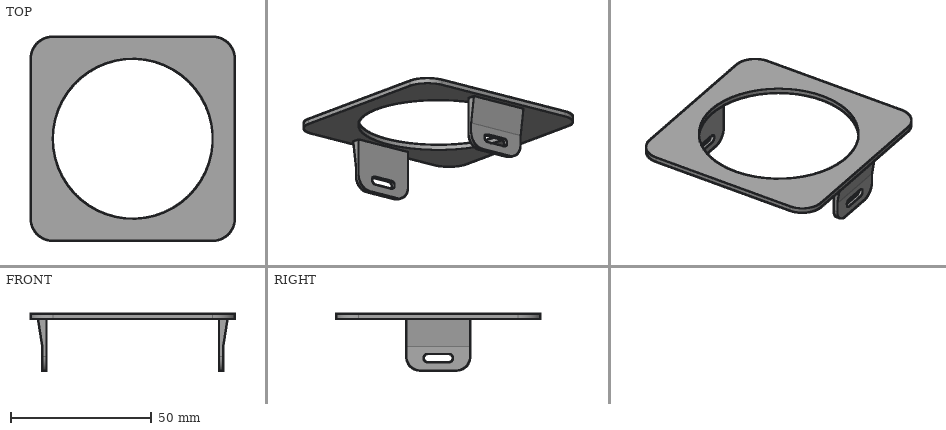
import cadquery as cq

plate_side = 73.0
plate_thickness = 2.0
corner_radius = 8.0
opening_diameter = 57.0

total_height = 20.4
tab_width = 22.9
tab_inner_x = 30.7
tab_thickness = 1.6
tab_root_thickness = 3.15
taper_end_z = -11.7
tab_corner_radius = 5.1

slot_length = 10.4
slot_height = 2.9
slot_z = -15.85


def make_plate():
    return (
        cq.Workplane("XY")
        .rect(plate_side, plate_side)
        .extrude(-plate_thickness)
        .edges("|Z")
        .fillet(corner_radius)
        .faces(">Z")
        .workplane()
        .hole(opening_diameter)
    )


def make_tab():
    """Tab on the +X side: flat inner face, outer face thickening towards the plate."""
    profile = [
        (tab_inner_x, -plate_thickness),
        (tab_inner_x + tab_root_thickness, -plate_thickness),
        (tab_inner_x + tab_thickness, taper_end_z),
        (tab_inner_x + tab_thickness, -total_height),
        (tab_inner_x, -total_height),
    ]
    tab = (
        cq.Workplane("XZ")
        .polyline(profile)
        .close()
        .extrude(tab_width / 2, both=True)
        .edges("|X and <Z")
        .fillet(tab_corner_radius)
    )
    slot = (
        cq.Workplane("YZ", origin=(tab_inner_x, 0, slot_z))
        .slot2D(slot_length, slot_height)
        .extrude(tab_thickness)
    )
    return tab.cut(slot)


right_tab = make_tab()
left_tab = right_tab.mirror("YZ")
result = make_plate().union(right_tab).union(left_tab)